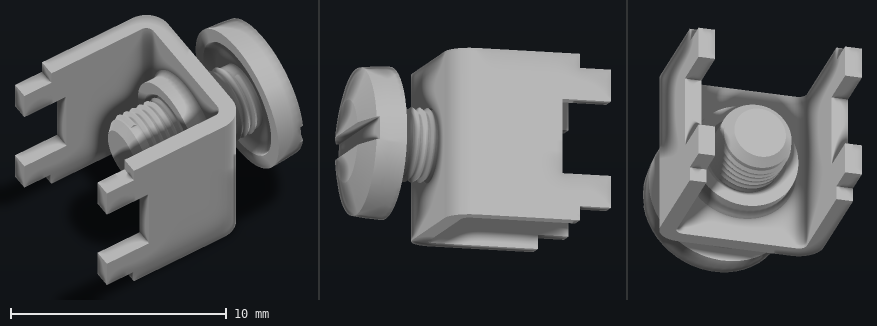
import cadquery as cq


WIDTH = 7.87
HALF_WIDTH = WIDTH / 2
THICKNESS = 0.8
INNER_BEND = 0.4
OUTER_BEND = INNER_BEND + THICKNESS
FOOT_END = 7.68
SHOULDER = 6.19
NOTCH_FLOOR = 5.35
FOOT_OUTER = 3.27
FOOT_INNER = 1.76
COLLAR_RADIUS = 2.564
COLLAR_END = 1.78
FLARE_START = 1.2
FLARE_RADIUS = 2.86
FLARE_END = 0.75
COUNTERSINK_RADIUS = 2.0

CREST_RADIUS = 1.75
ROOT_RADIUS = 1.63
TIP_Y = -4.29
TIP_CHAMFER = 0.38
HEAD_TOP = 11.63 - FOOT_END
HEAD_EDGE = 3.48
HEAD_BOTTOM = 2.05
HEAD_FLAT_RADIUS = 1.93
HEAD_EDGE_RADIUS = 3.45
HEAD_MIDDLE_RADIUS = 3.53
HEAD_BOTTOM_RADIUS = 3.565
DOME_BULGE = 0.02
RECESS_RADIUS = 2.91
RECESS_FLOOR_RADIUS = 2.4
RECESS_DEPTH = 0.37
SLOT_WIDTH = 1.06
SLOT_DEPTH = 0.63

THREAD_START = 2.04
THREAD_END = -3.66
THREAD_TURNS = 15
THREAD_LENGTH = THREAD_START - THREAD_END
THREAD_PITCH = THREAD_LENGTH / THREAD_TURNS
THREAD_BASE = 0.33
THREAD_EMBED = 0.06
FUSE_TOLERANCE = 0.001


def revolve_about_y(profile):
    return profile.close().revolve(360, (0, 0, 0), (0, 1, 0))


def make_channel():
    """Bent strip: a web and two legs."""
    outer = cq.Workplane("XY").box(WIDTH, FOOT_END, WIDTH, centered=(True, False, True))
    outer = outer.translate((0, -FOOT_END, 0)).edges("|Z and >Y").fillet(OUTER_BEND)
    inner_depth = FOOT_END - THICKNESS
    inner = cq.Workplane("XY").box(
        WIDTH - 2 * THICKNESS, inner_depth, WIDTH, centered=(True, False, True)
    )
    inner = inner.translate((0, -FOOT_END, 0)).edges("|Z and >Y").fillet(INNER_BEND)
    return outer.cut(inner)


def make_foot_gaps():
    """Material removed around the feet, through both legs."""
    gaps = cq.Workplane("YZ").rect(2 * (FOOT_END - NOTCH_FLOOR), 2 * FOOT_INNER)
    gaps = gaps.extrude(HALF_WIDTH, both=True).translate((0, -FOOT_END, 0))
    corner_height = HALF_WIDTH - FOOT_OUTER
    for side in (-1, 1):
        corner = cq.Workplane("XY").box(WIDTH, 2 * (FOOT_END - SHOULDER), corner_height)
        gaps = gaps.add(corner.translate((0, -FOOT_END, side * (FOOT_OUTER + corner_height / 2))))
    return gaps.combine()


def make_collar():
    """Extruded collar that flares into the inner face of the web."""
    profile = (
        cq.Workplane("XY")
        .moveTo(0, -COLLAR_END)
        .lineTo(COLLAR_RADIUS, -COLLAR_END)
        .lineTo(COLLAR_RADIUS, -FLARE_START)
        .tangentArcPoint((FLARE_RADIUS, -FLARE_END), relative=False)
        .lineTo(FLARE_RADIUS, -THICKNESS / 2)
        .lineTo(0, -THICKNESS / 2)
    )
    return revolve_about_y(profile)


def make_screw_hole():
    """Bore that clears the thread crests, countersunk at the collar end."""
    profile = (
        cq.Workplane("XY")
        .lineTo(CREST_RADIUS, 0)
        .lineTo(CREST_RADIUS, -COLLAR_END + COUNTERSINK_RADIUS - CREST_RADIUS)
        .lineTo(COUNTERSINK_RADIUS, -COLLAR_END)
        .lineTo(0, -COLLAR_END)
    )
    return revolve_about_y(profile)


def make_bracket():
    bracket = make_channel().cut(make_foot_gaps())
    return bracket.union(make_collar()).cut(make_screw_hole())


def make_screw_blank():
    """Domed head with a recessed underside, and a chamfered shank."""
    dome_middle = (
        (HEAD_FLAT_RADIUS + HEAD_EDGE_RADIUS) / 2,
        (HEAD_TOP + HEAD_EDGE) / 2 + DOME_BULGE,
    )
    side_middle = (HEAD_MIDDLE_RADIUS, (HEAD_EDGE + HEAD_BOTTOM) / 2)
    recess_floor = HEAD_BOTTOM + RECESS_DEPTH
    profile = (
        cq.Workplane("XY")
        .moveTo(0, TIP_Y)
        .lineTo(ROOT_RADIUS - TIP_CHAMFER, TIP_Y)
        .lineTo(ROOT_RADIUS, TIP_Y + TIP_CHAMFER)
        .lineTo(ROOT_RADIUS, recess_floor)
        .lineTo(RECESS_FLOOR_RADIUS, recess_floor)
        .tangentArcPoint((RECESS_RADIUS, HEAD_BOTTOM), relative=False)
        .lineTo(HEAD_BOTTOM_RADIUS, HEAD_BOTTOM)
        .threePointArc(side_middle, (HEAD_EDGE_RADIUS, HEAD_EDGE))
        .threePointArc(dome_middle, (HEAD_FLAT_RADIUS, HEAD_TOP))
        .lineTo(0, HEAD_TOP)
    )
    return revolve_about_y(profile)


def make_thread():
    """Triangular ridge that winds from under the head toward the tip, starting on the +Z side."""
    helix = cq.Wire.makeHelix(THREAD_PITCH, THREAD_LENGTH, ROOT_RADIUS, lefthand=True)
    half_base = THREAD_BASE / 2
    ridge = (
        cq.Workplane("XZ")
        .moveTo(ROOT_RADIUS - THREAD_EMBED, -half_base)
        .lineTo(ROOT_RADIUS, -half_base)
        .lineTo(CREST_RADIUS, 0)
        .lineTo(ROOT_RADIUS, half_base)
        .lineTo(ROOT_RADIUS - THREAD_EMBED, half_base)
        .close()
        .sweep(cq.Workplane(helix), isFrenet=True)
    )
    along_screw = cq.Plane(origin=(0, THREAD_START, 0), xDir=(0, 0, 1), normal=(0, -1, 0))
    return cq.Workplane(ridge.val().moved(cq.Location(along_screw)))


def make_driver_slot():
    slot = cq.Workplane("XY").box(2 * HEAD_BOTTOM_RADIUS, 2 * SLOT_DEPTH, SLOT_WIDTH)
    return slot.translate((0, HEAD_TOP, 0))


def make_screw():
    threaded = make_screw_blank().union(make_thread(), tol=FUSE_TOLERANCE)
    return threaded.cut(make_driver_slot())


bracket = make_bracket()
screw = make_screw()

result = cq.Compound.makeCompound([bracket.solids().val(), screw.solids().val()])